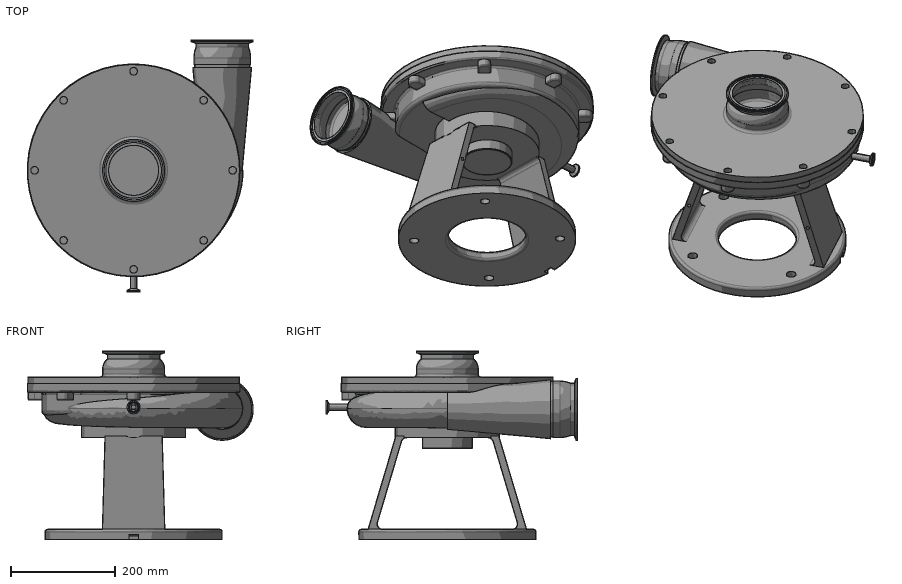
import cadquery as cq
import math

BASE_THICKNESS = 20.0
HUB_BOTTOM = 174.5
COLLAR_BOTTOM = 195.5
LEG_TOP = 199.0
TUBE_AXIS_Z = 252.0
FLANGE_BOTTOM = 282.5
COVER_BOTTOM = 299.5
COVER_TOP = 312.0
INLET_TOP = 361.5

BASE_RADIUS = 170.0
BASE_BORE_RADIUS = 75.0
BASE_EDGE_FILLET = 5.0
BASE_HOLE_DIAMETER = 18.0
BASE_HOLE_CIRCLE_RADIUS = 140.0
BASE_HOLE_COUNT = 4
NOTCH_WIDTH = 18.5
NOTCH_HEIGHT = 10.0
NOTCH_DEPTH = 10.0
NOTCH_CHAMFER = 3.0

LEG_FOOT_Y = 152.0
LEG_SLOPE = 0.297
LEG_THICKNESS_Y = 14.2
LEG_FOOT_WIDTH = 120.0
LEG_HEAD_WIDTH = 110.0
LEG_CORNER_FILLET = 10.0
LEG_HOLE_DIAMETER = 6.0
LEG_HOLE_DEPTH = 12.0
LEG_HOLE_Z = 106.0

HUB_RADIUS = 48.0
HUB_CHAMFER = 1.5
COLLAR_RADIUS = 100.0
CASING_RADIUS = 176.0
CASING_FLOOR = 239.0
CASING_CORNER_FILLET = 8.0
FLANGE_RADIUS = 204.0
FLANGE_EDGE_FILLET = 3.0
FLANGE_ROOT_FILLET = 4.0
COVER_RADIUS = 203.0
BOLT_COUNT = 8
BOLT_CIRCLE_RADIUS = 190.0
BOLT_HOLE_DIAMETER = 14.5
BOLT_HOLE_BOTTOM = FLANGE_BOTTOM + 3.0
BOSS_INDICES = range(1, 7)
BOSS_RADIUS = 12.25
BOSS_OVERLAP = 8.0
BOSS_BOTTOM = 267.5
BOSS_EDGE_FILLET = 2.5

SCROLL_SECTIONS = [
    (90.0, 173.0, 27.0, 18.0),
    (180.0, 174.5, 28.5, 18.0),
    (225.0, 176.0, 33.5, 18.0),
    (270.0, 191.5, 36.5, 20.0),
    (315.0, 202.0, 37.0, 34.0),
    (360.0, 209.5, 38.0, 38.0),
]
SCROLL_INNER_RADIUS = 60.0

OUTLET_X = 169.95
OUTLET_Z = 250.0
OUTLET_END_Y = 250.0
DIFFUSER_START_Y = 0.0
DIFFUSER_END_Y = 197.5
DIFFUSER_START_RADIUS = 38.5
DIFFUSER_END_RADIUS = 56.5
CLAMP_RADIUS = 59.5
CLAMP_RIM = 3.0
CLAMP_TAPER_END = 6.5
CLAMP_GROOVE_RADIUS = 55.0
CLAMP_GROOVE_RADIAL = 1.6
NECK_RADIUS = 50.5
SPIGOT_BORE_RADIUS = 48.0
SPIGOT_WALL = NECK_RADIUS - SPIGOT_BORE_RADIUS
INLET_FLARE_START = 15.0
OUTLET_FLARE_START = 13.6
FLARE_END = 34.0
INLET_BODY_RADIUS = 59.5
INLET_ROOT_FILLET = 5.5
INLET_FLOOR = 303.0
BORE_FLOOR_FILLET = 4.0
OUTLET_BODY_RADIUS = 54.5
OUTLET_BODY_LENGTH = 47.0
WELD_RADIUS = 53.0

DRAIN_Z = 254.0
DRAIN_END_Y = -233.0
DRAIN_START_Y = -180.0
DRAIN_PIPE_RADIUS = 6.35
DRAIN_BORE_RADIUS = 4.7
DRAIN_RIM_RADIUS = 12.6
DRAIN_RIM = 2.85
DRAIN_TAPER_END = 6.0
DRAIN_BORE_DEPTH = 45.0
DRAIN_GROOVE_RADIUS = 9.0
DRAIN_GROOVE_RADIAL = 1.0


def disc(radius, bottom, top):
    """Solid cylinder on the pump axis between two heights."""
    return cq.Workplane("XY").workplane(offset=bottom).circle(radius).extrude(top - bottom)


def make_base():
    base = disc(BASE_RADIUS, 0, BASE_THICKNESS)
    base = base.cut(disc(BASE_BORE_RADIUS, 0, BASE_THICKNESS))
    base = base.faces(">Z").edges().fillet(BASE_EDGE_FILLET)
    bore_edge = cq.selectors.RadiusNthSelector(0)
    base = base.faces("<Z").edges(bore_edge).fillet(BASE_EDGE_FILLET)
    holes = (
        cq.Workplane("XY")
        .polarArray(BASE_HOLE_CIRCLE_RADIUS, 45, 360, BASE_HOLE_COUNT)
        .circle(BASE_HOLE_DIAMETER / 2)
        .extrude(BASE_THICKNESS)
    )
    notch = (
        cq.Workplane("XY")
        .box(NOTCH_WIDTH, 2 * NOTCH_DEPTH, NOTCH_HEIGHT, centered=(True, True, False))
        .edges(">Y and >Z")
        .chamfer(NOTCH_CHAMFER)
        .translate((0, -BASE_RADIUS, 0))
    )
    return base.cut(holes).cut(notch)


def leg_prism(foot_y, top):
    """Wide trapezoidal prism along X whose sides lean inwards at the leg slope."""
    head_y = foot_y - LEG_SLOPE * (top - BASE_THICKNESS)
    return (
        cq.Workplane("YZ")
        .polyline([(-foot_y, BASE_THICKNESS), (foot_y, BASE_THICKNESS), (head_y, top), (-head_y, top)])
        .close()
        .extrude(LEG_FOOT_WIDTH, both=True)
    )


def make_legs():
    opening = leg_prism(LEG_FOOT_Y - LEG_THICKNESS_Y, COLLAR_BOTTOM)
    opening = opening.edges("|X").fillet(LEG_CORNER_FILLET)
    frame = leg_prism(LEG_FOOT_Y, LEG_TOP).cut(opening)
    half_foot = LEG_FOOT_WIDTH / 2
    half_head = LEG_HEAD_WIDTH / 2
    taper = (
        cq.Workplane("XZ")
        .polyline([
            (-half_foot, BASE_THICKNESS),
            (half_foot, BASE_THICKNESS),
            (half_head, LEG_TOP),
            (-half_head, LEG_TOP),
        ])
        .close()
        .extrude(BASE_RADIUS, both=True)
    )
    legs = frame.intersect(taper)
    hole_y = LEG_FOOT_Y - LEG_SLOPE * (LEG_HOLE_Z - BASE_THICKNESS) - LEG_THICKNESS_Y / 2
    side_holes = (
        cq.Workplane("YZ")
        .workplane(offset=-half_foot)
        .pushPoints([(hole_y, LEG_HOLE_Z), (-hole_y, LEG_HOLE_Z)])
        .circle(LEG_HOLE_DIAMETER / 2)
        .extrude(LEG_HOLE_DEPTH)
    )
    return legs.cut(side_holes)


def scroll_section(angle, outer, lower_radius, upper_radius):
    """Closed radial section: flat underside and top joined by two quarter arcs."""
    radians = math.radians(angle)
    plane = cq.Plane(
        origin=(0, 0, TUBE_AXIS_Z),
        xDir=(math.cos(radians), math.sin(radians), 0),
        normal=(math.sin(radians), -math.cos(radians), 0),
    )
    setback = 1 - math.sqrt(0.5)
    lower_middle = (outer - setback * lower_radius, (setback - 1) * lower_radius)
    upper_middle = (outer - setback * upper_radius, (1 - setback) * upper_radius)
    return (
        cq.Workplane(plane)
        .moveTo(SCROLL_INNER_RADIUS, -lower_radius)
        .lineTo(outer - lower_radius, -lower_radius)
        .threePointArc(lower_middle, (outer, 0))
        .threePointArc(upper_middle, (outer - upper_radius, upper_radius))
        .lineTo(SCROLL_INNER_RADIUS, upper_radius)
        .close()
        .val()
    )


def make_scroll():
    sections = [scroll_section(*section) for section in SCROLL_SECTIONS]
    return cq.Workplane(cq.Solid.makeLoft(sections))


def make_casing():
    hub = disc(HUB_RADIUS, HUB_BOTTOM, COLLAR_BOTTOM).faces("<Z").chamfer(HUB_CHAMFER)
    collar = disc(COLLAR_RADIUS, COLLAR_BOTTOM, FLANGE_BOTTOM)
    wall = disc(CASING_RADIUS, CASING_FLOOR, FLANGE_BOTTOM)
    wall = wall.faces("<Z").edges().fillet(CASING_CORNER_FILLET)
    flange = disc(FLANGE_RADIUS, FLANGE_BOTTOM, COVER_BOTTOM)
    flange = flange.faces("<Z").edges().fillet(FLANGE_EDGE_FILLET)
    body = wall.union(flange)
    root = cq.selectors.RadiusNthSelector(0)
    body = body.edges(cq.selectors.BoxSelector(
        (-FLANGE_RADIUS, -FLANGE_RADIUS, FLANGE_BOTTOM - 1),
        (FLANGE_RADIUS, FLANGE_RADIUS, FLANGE_BOTTOM + 1),
    )).edges(root).fillet(FLANGE_ROOT_FILLET)
    cover = disc(COVER_RADIUS, COVER_BOTTOM, COVER_TOP)
    return body.union(cover).union(collar).union(hub)


def at_bolts(shape, indices):
    """Copy a shape built around the pump axis to the bolt positions with these indices."""
    copies = cq.Workplane("XY")
    for index in indices:
        angle = 360 * index / BOLT_COUNT
        copies.add(shape.translate((BOLT_CIRCLE_RADIUS, 0, 0)).rotate((0, 0, 0), (0, 0, 1), angle))
    return copies.combine()


def make_bosses():
    """Round-nosed bosses under the flange, each running inwards into the casing wall."""
    top = FLANGE_BOTTOM + FLANGE_EDGE_FILLET
    reach = BOLT_CIRCLE_RADIUS - CASING_RADIUS + BOSS_OVERLAP
    web = (
        cq.Workplane("XY", origin=(-reach / 2, 0, BOSS_BOTTOM))
        .box(reach, 2 * BOSS_RADIUS, top - BOSS_BOTTOM, centered=(True, True, False))
    )
    boss = disc(BOSS_RADIUS, BOSS_BOTTOM, top).union(web).clean()
    return at_bolts(boss.faces("<Z").edges().fillet(BOSS_EDGE_FILLET), BOSS_INDICES)


def make_bolt_holes():
    """Blind holes through the cover and into the flange."""
    return at_bolts(disc(BOLT_HOLE_DIAMETER / 2, BOLT_HOLE_BOTTOM, COVER_TOP), range(BOLT_COUNT))


def make_spigot(body_radius, body_length, flare_start, bore_depth):
    """Clamp spigot on Z with its sealing face at the origin, running down to -Z."""
    outline = (
        cq.Workplane("XZ")
        .lineTo(0, -body_length)
        .lineTo(body_radius, -body_length)
        .lineTo(body_radius, -FLARE_END)
        .tangentArcPoint((NECK_RADIUS, -flare_start), relative=False)
        .lineTo(NECK_RADIUS, -CLAMP_TAPER_END)
        .lineTo(CLAMP_RADIUS, -CLAMP_RIM)
        .lineTo(CLAMP_RADIUS, 0)
        .close()
    )
    bore = (
        cq.Workplane("XZ")
        .lineTo(SPIGOT_BORE_RADIUS, 0)
        .lineTo(SPIGOT_BORE_RADIUS, -flare_start)
        .tangentArcPoint((body_radius - SPIGOT_WALL, -FLARE_END), relative=False)
        .lineTo(body_radius - SPIGOT_WALL, -bore_depth)
        .lineTo(0, -bore_depth)
        .close()
    )
    groove = (
        cq.Workplane("XZ")
        .center(CLAMP_GROOVE_RADIUS, 0)
        .circle(CLAMP_GROOVE_RADIAL)
        .revolve(360, (-CLAMP_GROOVE_RADIUS, 0), (-CLAMP_GROOVE_RADIUS, 1))
    )
    body = outline.revolve(360, (0, 0), (0, 1)).cut(groove)
    cavity = bore.revolve(360, (0, 0), (0, 1)).faces("<Z").edges().fillet(BORE_FLOOR_FILLET)
    return body, cavity


def add_inlet(part):
    depth = INLET_TOP - COVER_TOP
    spigot, bore = make_spigot(INLET_BODY_RADIUS, depth, INLET_FLARE_START, INLET_TOP - INLET_FLOOR)
    root = (
        cq.Workplane("XZ")
        .moveTo(INLET_BODY_RADIUS, COVER_TOP)
        .lineTo(INLET_BODY_RADIUS + INLET_ROOT_FILLET, COVER_TOP)
        .radiusArc((INLET_BODY_RADIUS, COVER_TOP + INLET_ROOT_FILLET), INLET_ROOT_FILLET)
        .close()
        .revolve(360, (0, 0), (0, 1))
    )
    top = (0, 0, INLET_TOP)
    return part.union(root.union(spigot.translate(top)), clean=False).cut(bore.translate(top))


def make_diffuser():
    """Tapered pipe leaving the scroll along +Y."""
    return (
        cq.Workplane("XZ", origin=(OUTLET_X, DIFFUSER_START_Y, OUTLET_Z))
        .circle(DIFFUSER_START_RADIUS)
        .workplane(offset=DIFFUSER_START_Y - DIFFUSER_END_Y)
        .circle(DIFFUSER_END_RADIUS)
        .loft()
    )


def make_outlet_spigot():
    spigot, bore = make_spigot(OUTLET_BODY_RADIUS, OUTLET_BODY_LENGTH, OUTLET_FLARE_START, OUTLET_BODY_LENGTH)
    weld_length = OUTLET_END_Y - DIFFUSER_END_Y
    weld = disc(WELD_RADIUS, -weld_length, -OUTLET_BODY_LENGTH)
    spigot = spigot.cut(bore).union(weld)
    return spigot.rotate((0, 0, 0), (1, 0, 0), -90).translate((OUTLET_X, OUTLET_END_Y, OUTLET_Z))


def make_drain():
    """Small clamp fitting pointing to -Y, with a blind bore."""
    length = DRAIN_START_Y - DRAIN_END_Y
    fitting = (
        cq.Workplane("XY")
        .lineTo(DRAIN_RIM_RADIUS, 0)
        .lineTo(DRAIN_RIM_RADIUS, DRAIN_RIM)
        .lineTo(DRAIN_PIPE_RADIUS, DRAIN_TAPER_END)
        .lineTo(DRAIN_PIPE_RADIUS, length)
        .lineTo(0, length)
        .close()
        .revolve(360, (0, 0), (0, 1))
    )
    bore = cq.Workplane("XZ").circle(DRAIN_BORE_RADIUS).extrude(-DRAIN_BORE_DEPTH)
    groove = (
        cq.Workplane("XY")
        .center(DRAIN_GROOVE_RADIUS, 0)
        .circle(DRAIN_GROOVE_RADIAL)
        .revolve(360, (-DRAIN_GROOVE_RADIUS, 0), (-DRAIN_GROOVE_RADIUS, 1))
    )
    return fitting.cut(bore).cut(groove).translate((0, DRAIN_END_Y, DRAIN_Z))


def build_pump():
    part = make_casing().union(make_scroll(), clean=False).union(make_diffuser(), clean=False)
    part = part.union(make_bosses(), clean=False).cut(make_bolt_holes(), clean=False)
    part = part.union(make_legs(), clean=False).union(make_base(), clean=False)
    part = add_inlet(part)
    part = part.union(make_outlet_spigot(), clean=False)
    return part.union(make_drain(), clean=False)


result = build_pump()